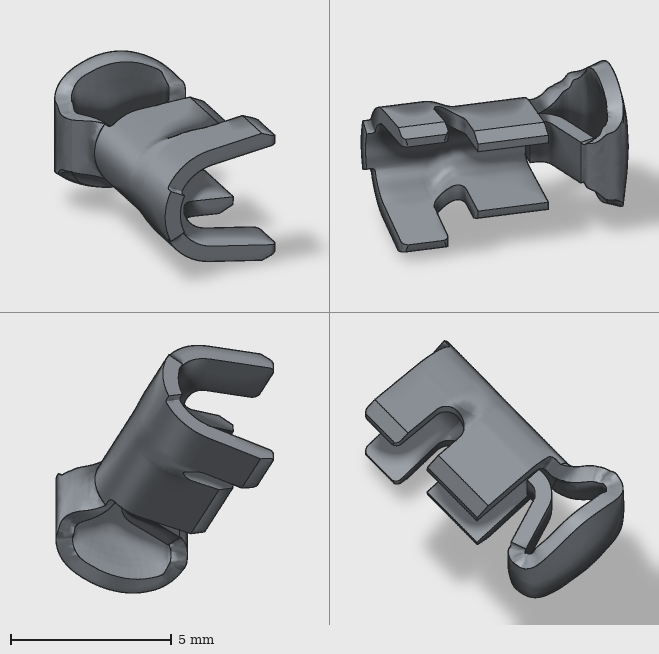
import cadquery as cq
import math

sheet = 0.52

wire_radius = 1.41
wire_flare = 3.9
wire_wing = 2.21
wire_start = 3.03
wire_end = 5.31

grip_radius = 1.91
grip_flare = 8.6
grip_wing = 2.255
grip_start = 6.33
grip_end = 7.85
grip_top = 3.93
grip_corner = 0.23

bevel_angle = 30
bevel_depth = sheet / 2
bevel_length = bevel_depth / math.tan(math.radians(bevel_angle))

neck_wing = 1.22
neck_stations = 9
saddle_radius = (grip_start - wire_end) / 2
saddle_floor = 1.69
slot_ceiling = 4.87

tab_half_width = 0.85
tab_end = 8.11
tab_fillet = 0.08

strip_half_width = 0.89
dome_half_width = 2.29
dome_crown = 0.4
dome_outline_radius = 2.635
dome_radius = 3.93
dome_apex_y = 1.42
head_bottom = -0.64
head_top = 3.69
head_middle = (head_top + head_bottom) / 2
head_half_height = (head_top - head_bottom) / 2
top_bend_x = 1.15
bottom_bend_x = 1.22
top_narrowing = 2
bottom_narrowing = 4
dome_stations = 9
bend_stations = 4

ramp_angle = 39
root_start = 2.635
root_half_width = 0.94
root_fillet = 0.195

leg_angle = 20
tail_top = 1.42
tail_radius = 0.455
leg_half_width = 0.71


def unit(degrees):
    return math.cos(math.radians(degrees)), math.sin(math.radians(degrees))


def channel_outline(x, radius, flare, wing, beveled):
    """Closed U outline at station x: round floor and two leaning wings."""
    cos_f, sin_f = unit(flare)
    inner = radius - sheet

    def wing_point(along, inward):
        reach = radius - inward
        y = radius - reach * sin_f + along * cos_f
        z = reach * cos_f + along * sin_f
        return y, z

    right = [wing_point(0, 0)]
    if beveled:
        right += [wing_point(wing - bevel_length, 0), wing_point(wing, bevel_depth)]
    else:
        right += [wing_point(wing, 0)]
    right += [wing_point(wing, sheet), wing_point(0, sheet)]
    left = [(y, -z) for y, z in reversed(right)]

    outline = cq.Workplane("YZ", origin=(x, 0, 0)).moveTo(*right[0])
    for point in right[1:]:
        outline = outline.lineTo(*point)
    outline = outline.threePointArc((radius - inner, 0), left[0])
    for point in left[1:]:
        outline = outline.lineTo(*point)
    return outline.threePointArc((0, 0), right[0]).close()


def barrel(start, end, radius, flare, wing):
    return channel_outline(start, radius, flare, wing, True).extrude(end - start)


def floor_sector(start, end, radius, half_width):
    """Piece of the round floor between two radial side faces."""
    cos_a, sin_a = unit(math.degrees(math.asin(half_width / radius)))
    inner = radius - sheet
    return (
        cq.Workplane("YZ", origin=(start, 0, 0))
        .moveTo(radius - radius * cos_a, -radius * sin_a)
        .threePointArc((0, 0), (radius - radius * cos_a, radius * sin_a))
        .lineTo(radius - inner * cos_a, inner * sin_a)
        .threePointArc((sheet, 0), (radius - inner * cos_a, -inner * sin_a))
        .close()
        .extrude(end - start)
    )


def neck():
    """Flowing change from the wire barrel to the larger grip barrel."""
    wires = []
    for i in range(neck_stations):
        part = i / (neck_stations - 1)
        blend = part * part * (3 - 2 * part)
        x = wire_end + part * (grip_start - wire_end)
        radius = wire_radius + blend * (grip_radius - wire_radius)
        flare = wire_flare + blend * (grip_flare - wire_flare)
        wires.append(channel_outline(x, radius, flare, neck_wing, False).val())
    body = cq.Workplane(cq.Solid.makeLoft(wires))
    middle = (wire_end + grip_start) / 2
    center_y = saddle_floor + saddle_radius
    slot = (
        cq.Workplane("XY")
        .moveTo(wire_end, slot_ceiling)
        .lineTo(wire_end, center_y)
        .threePointArc((middle, saddle_floor), (grip_start, center_y))
        .lineTo(grip_start, slot_ceiling)
        .close()
        .extrude(2 * grip_radius, both=True)
    )
    return body.cut(slot)


def grip_barrel():
    rounded = (
        cq.Workplane("XY")
        .rect(grip_end - grip_start, 2 * grip_top)
        .extrude(2 * grip_radius, both=True)
        .edges("|Z and >Y")
        .fillet(grip_corner)
        .translate(((grip_start + grip_end) / 2, 0, 0))
    )
    return barrel(grip_start, grip_end, grip_radius, grip_flare, grip_wing).intersect(rounded)


def round_root(body, x, radius, half_width, size):
    """Fillet the two radial corners where a floor sector leaves a barrel end."""
    mid = radius - sheet / 2
    cos_a, sin_a = unit(math.degrees(math.asin(half_width / radius)))
    for side in (-1, 1):
        corner = (x, radius - mid * cos_a, side * mid * sin_a)
        body = body.edges(cq.selectors.NearestToPointSelector(corner)).fillet(size)
    return body


def strip_section(x, y, normal_angle, half_width, crown):
    """Strip cross-section at outer point (x, y); crown is how far the edges curl inward."""
    nx, ny = unit(normal_angle)
    edge_angle = 2 * math.atan2(crown, half_width)
    inner_depth = -crown - sheet * math.cos(edge_angle)
    inner_half = half_width - sheet * math.sin(edge_angle)

    def place(depth, z):
        return cq.Vector(x + depth * nx, y + depth * ny, z)

    outer_ends = place(-crown, -half_width), place(-crown, half_width)
    inner_ends = place(inner_depth, inner_half), place(inner_depth, -inner_half)
    outer_control = place(crown, 0)
    inner_control = place(-2 * sheet - inner_depth, 0)
    return cq.Wire.assembleEdges(
        [
            cq.Edge.makeBezier([outer_ends[0], outer_control, outer_ends[1]]),
            cq.Edge.makeLine(outer_ends[1], inner_ends[0]),
            cq.Edge.makeBezier([inner_ends[0], inner_control, inner_ends[1]]),
            cq.Edge.makeLine(inner_ends[1], outer_ends[0]),
        ]
    )


def outline_half_width(offset):
    """Half width of the round head outline at a distance from its middle."""
    return dome_half_width - dome_outline_radius + math.sqrt(dome_outline_radius**2 - offset**2)


edge_half_width = outline_half_width(head_half_height)


def head_section(x, y, normal_angle):
    """Section of the dome, its width following the round head outline."""
    offset = y - head_middle
    half_width = outline_half_width(offset)
    share = (half_width - edge_half_width) / (dome_half_width - edge_half_width)
    return strip_section(x, y, normal_angle, half_width, dome_crown * max(share, 0) ** 2)


def bend_layout(side):
    """Center and outer radius of the top (1) or bottom (-1) bend, tangent to the dome arc."""
    center_x = top_bend_x if side > 0 else bottom_bend_x
    level_y = head_top if side > 0 else head_bottom
    height = abs(level_y - dome_apex_y)
    reach = dome_radius - center_x
    radius = (dome_radius**2 - reach**2 - height**2) / (2 * (dome_radius - height))
    return center_x, level_y - side * radius, radius


def bend_point(side, normal_angle):
    center_x, center_y, radius = bend_layout(side)
    nx, ny = unit(normal_angle)
    return center_x + radius * nx, center_y + radius * ny


def dome_end_angle(side):
    """Normal direction where the dome arc passes into a bend."""
    center_x, center_y, _ = bend_layout(side)
    return 180 - math.degrees(math.atan2(center_y - dome_apex_y, dome_radius - center_x))


def closing_bend(side, last_angle, last_half_width, narrowing_power):
    """Sections past the level point of a bend, narrowing to the plain strip."""
    wires = []
    for i in range(1, bend_stations + 1):
        part = i / bend_stations
        angle = side * 90 + part * (last_angle - side * 90)
        narrowing = 1 - (1 - part) ** narrowing_power
        half_width = edge_half_width + narrowing * (last_half_width - edge_half_width)
        wires.append(strip_section(*bend_point(side, angle), angle, half_width, 0))
    return wires


def opening_bend(side):
    """Sections from the level point of a bend up to the dome arc."""
    last_turn = abs(dome_end_angle(side) - 180)
    wires = []
    for i in range(bend_stations):
        angle = side * (90 + i / bend_stations * (90 - last_turn))
        wires.append(head_section(*bend_point(side, angle), angle))
    return wires


def dome_arc():
    first_angle = dome_end_angle(-1)
    last_angle = dome_end_angle(1)
    wires = []
    for i in range(dome_stations):
        angle = first_angle + i / (dome_stations - 1) * (last_angle - first_angle)
        nx, ny = unit(angle)
        wires.append(head_section(dome_radius + dome_radius * nx, dome_apex_y + dome_radius * ny, angle))
    return wires


def head():
    lower = closing_bend(-1, ramp_angle - 90, strip_half_width, bottom_narrowing)[::-1] + opening_bend(-1)
    upper = closing_bend(1, leg_angle, leg_half_width, top_narrowing)[::-1] + opening_bend(1)
    return cq.Workplane(cq.Solid.makeLoft(lower + dome_arc() + upper[::-1]))


def ramp():
    """Strip climbing from the lower bend and curling into the barrel floor."""
    root_crown = wire_radius - math.sqrt(wire_radius**2 - root_half_width**2)
    start_x, start_y = bend_point(-1, ramp_angle - 90)
    cos_r, sin_r = unit(ramp_angle)
    rise = -start_y
    run = root_start - start_x
    curve = (run * sin_r - rise * cos_r) / (1 - cos_r)
    straight = (rise - curve * (1 - cos_r)) / sin_r
    wires = [strip_section(start_x, start_y, ramp_angle - 90, strip_half_width, 0)]
    total = straight + curve * math.radians(ramp_angle)
    for i in range(bend_stations + 1):
        slope = ramp_angle * (1 - i / bend_stations)
        cos_s, sin_s = unit(slope)
        x = root_start - curve * sin_s
        y = -curve * (1 - cos_s)
        travelled = straight + curve * math.radians(ramp_angle - slope)
        part = travelled / total
        half_width = strip_half_width + part * (root_half_width - strip_half_width)
        wires.append(strip_section(x, y, slope - 90, half_width, root_crown * part**2))
    return cq.Workplane(cq.Solid.makeLoft(wires))


def return_leg():
    """Straight leg and level tail that close the loop at the barrel mouth."""
    start_x, start_y = bend_point(1, leg_angle)
    cos_l, sin_l = unit(leg_angle)
    arc_y = tail_top + tail_radius
    outer_end_y = arc_y - tail_radius * sin_l
    outer_end_x = start_x + (start_y - outer_end_y) * math.tan(math.radians(leg_angle))
    arc_x = outer_end_x + tail_radius * cos_l
    far_radius = tail_radius + sheet
    leg_side = 180 + leg_angle
    straight_down = 270
    mid_direction = unit((leg_side + straight_down) / 2)

    def on_arc(radius, direction):
        return arc_x + radius * direction[0], arc_y + radius * direction[1]

    return (
        cq.Workplane("XY")
        .moveTo(start_x, start_y)
        .lineTo(outer_end_x, outer_end_y)
        .threePointArc(on_arc(tail_radius, mid_direction), (arc_x, tail_top))
        .lineTo(wire_start, tail_top)
        .lineTo(wire_start, tail_top - sheet)
        .lineTo(arc_x, tail_top - sheet)
        .threePointArc(on_arc(far_radius, mid_direction), on_arc(far_radius, (-cos_l, -sin_l)))
        .lineTo(start_x - sheet * cos_l, start_y - sheet * sin_l)
        .close()
        .extrude(leg_half_width, both=True)
    )


wire_barrel = barrel(wire_start, wire_end, wire_radius, wire_flare, wire_wing)
wire_barrel = wire_barrel.union(floor_sector(root_start, wire_start, wire_radius, root_half_width))
wire_barrel = round_root(wire_barrel, wire_start, wire_radius, root_half_width, root_fillet)

rear_barrel = grip_barrel().union(floor_sector(grip_end, tab_end, grip_radius, tab_half_width))
rear_barrel = round_root(rear_barrel, grip_end, grip_radius, tab_half_width, tab_fillet)

result = wire_barrel.union(neck()).union(rear_barrel).union(ramp()).union(head()).union(return_leg())